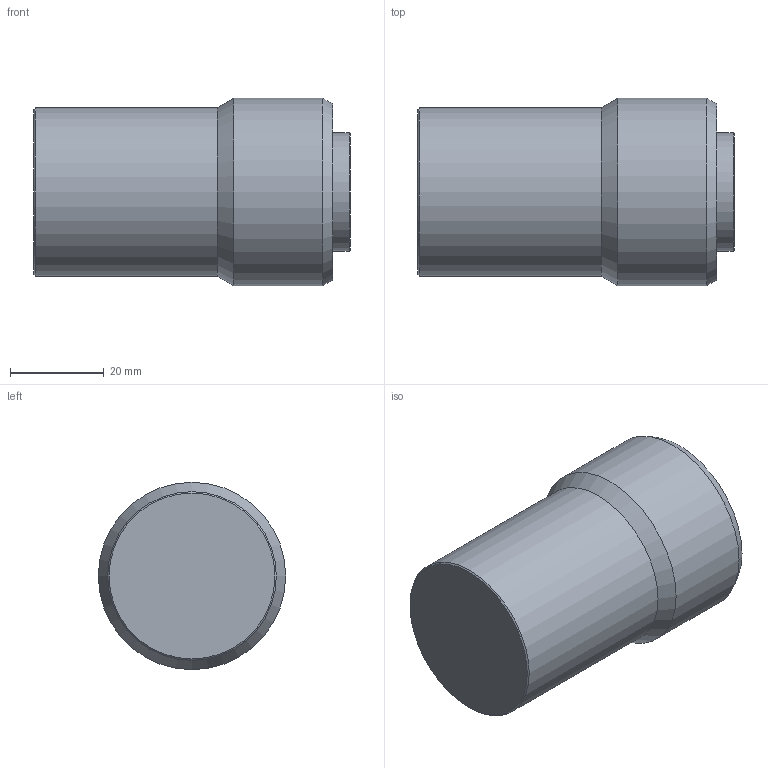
import cadquery as cq
import math

total_length = 67.5

barrel_radius = 18.0
barrel_edge_chamfer = 0.3

head_radius = 20.0
head_end_bevel_length = 2.1
head_length = 21.1
cone_angle = 30.0

spigot_radius = 12.65
spigot_length = 3.75
spigot_edge_chamfer = 0.2

slope = math.tan(math.radians(cone_angle))
head_end_x = total_length - spigot_length
head_bevel_x = head_end_x - head_end_bevel_length
head_start_x = head_end_x - head_length
barrel_end_x = head_start_x - (head_radius - barrel_radius) / slope
head_end_radius = head_radius - head_end_bevel_length * slope


def half_profile():
    """Half section of the turned body: axial position along X, radius along Z."""
    return (
        cq.Workplane("XZ")
        .moveTo(0, 0)
        .lineTo(0, barrel_radius - barrel_edge_chamfer)
        .lineTo(barrel_edge_chamfer, barrel_radius)
        .lineTo(barrel_end_x, barrel_radius)
        .lineTo(head_start_x, head_radius)
        .lineTo(head_bevel_x, head_radius)
        .lineTo(head_end_x, head_end_radius)
        .lineTo(head_end_x, spigot_radius)
        .lineTo(total_length - spigot_edge_chamfer, spigot_radius)
        .lineTo(total_length, spigot_radius - spigot_edge_chamfer)
        .lineTo(total_length, 0)
        .close()
    )


result = half_profile().revolve(360, (0, 0), (1, 0))